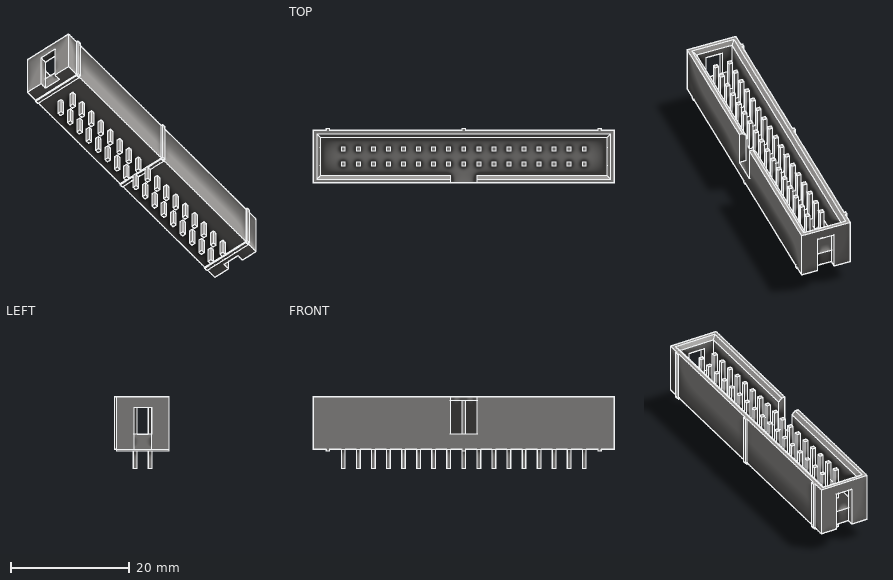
import cadquery as cq


LENGTH = 50.85
HEIGHT = 8.9
WIDTH = 8.9
WALL = 1.2
LEAD_IN = 0.6
CAVITY_DEPTH = 6.3
FLOOR_Z = HEIGHT - CAVITY_DEPTH

KEY_WIDTH = 4.45
END_SLOT_WIDTH = 3.0
END_SLOT_TOP_GAP = 1.85

COLUMNS = 17
ROWS = 2
PITCH = 2.55
PIN_SIZE = 0.65
PIN_TAIL = 3.25
PIN_TOP_Z = HEIGHT - LEAD_IN

RIB_SPACING = 22.95
RIB_WIDTH = 0.6
RIB_DEPTH = 0.3
STANDOFF_HEIGHT = 0.3


def block(size_x, size_y, z_low, z_high, x=0.0, y=0.0):
    """Upright box centred on (x, y) between two heights."""
    height = z_high - z_low
    box = cq.Workplane("XY").box(size_x, size_y, height, centered=(True, True, False))
    return box.translate((x, y, z_low))


def cavity():
    """Space for the mating plug, widening through the lead-in at the top."""
    inner_length = LENGTH - 2 * WALL
    inner_width = WIDTH - 2 * WALL
    well = block(inner_length, inner_width, FLOOR_Z, HEIGHT)
    mouth = (
        cq.Workplane("XY")
        .workplane(offset=HEIGHT - LEAD_IN)
        .rect(inner_length, inner_width)
        .workplane(offset=LEAD_IN)
        .rect(inner_length + 2 * LEAD_IN, inner_width + 2 * LEAD_IN)
        .loft(ruled=True)
    )
    return well.union(mouth)


def housing():
    """Open-topped box with a key notch in front and a slot through each end wall."""
    body = block(LENGTH, WIDTH, 0, HEIGHT).cut(cavity())
    front_wall_y = -(WIDTH - WALL) / 2
    body = body.cut(block(KEY_WIDTH, WALL, FLOOR_Z, HEIGHT, y=front_wall_y))
    for side in (-1, 1):
        end_wall_x = side * (LENGTH - WALL) / 2
        slot = block(WALL, END_SLOT_WIDTH, 0, HEIGHT - END_SLOT_TOP_GAP, x=end_wall_x)
        body = body.cut(slot)
    return body


def ribs_and_standoffs():
    """Three back ribs, each lined up with a standoff bar across the underside."""
    rib = block(RIB_WIDTH, 2 * RIB_DEPTH, 0, HEIGHT, y=WIDTH / 2)
    standoff = block(RIB_WIDTH, WIDTH, -STANDOFF_HEIGHT, STANDOFF_HEIGHT)
    pair = rib.union(standoff)
    pieces = pair
    for side in (-1, 1):
        pieces = pieces.union(pair.translate((side * RIB_SPACING, 0, 0)))
    return pieces


def pins():
    """Grid of square pins passing through the floor."""
    return (
        cq.Workplane("XY")
        .workplane(offset=-PIN_TAIL)
        .rarray(PITCH, PITCH, COLUMNS, ROWS)
        .rect(PIN_SIZE, PIN_SIZE)
        .extrude(PIN_TOP_Z + PIN_TAIL)
    )


result = housing().union(ribs_and_standoffs()).union(pins())